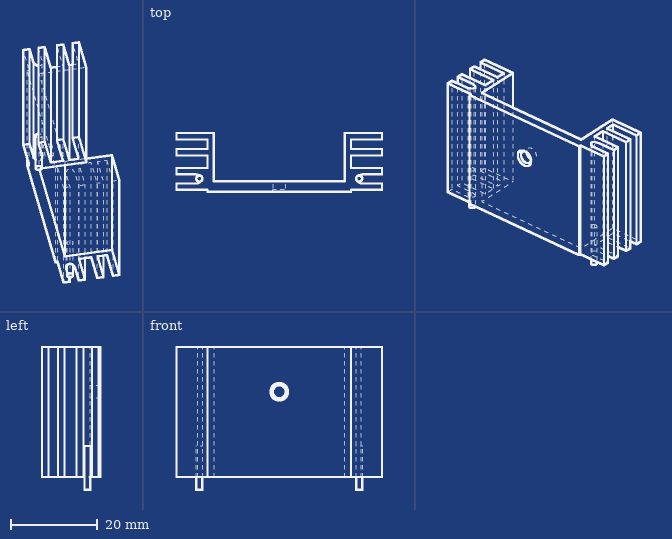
import cadquery as cq
import math

WIDTH = 47.4
DEPTH = 13.6
HEIGHT = 30.0

FIN_LENGTH = 7.1
FIN_THICKNESS = 1.5
WALL_THICKNESS = 1.5
BASE_THICKNESS = 2.5
PAD_STEP = 0.47
SECOND_FIN_BACK = 3.7
THIRD_FIN_BACK = 8.05
FRONT_SLOT_WIDTH = 2.05

PIN_DIAMETER = 1.4
PIN_INSET = 5.25
PIN_BACK = 10.5
PIN_PROTRUSION = 3.0
PIN_GRIP = 7.2
REAR_TAPER_INSET = 4.45
FRONT_TAPER_INSET = 4.85

HOLE_DIAMETER = 3.0
SINK_DIAMETER = 4.05
SINK_ANGLE = 90.0
HOLE_Z = 19.65

HALF_WIDTH = WIDTH / 2
WALL_OUTER_X = HALF_WIDTH - FIN_LENGTH
PIN_X = HALF_WIDTH - PIN_INSET
PIN_Y = DEPTH - PIN_BACK
PIN_RADIUS = PIN_DIAMETER / 2
SLOT_REAR_Y = DEPTH - THIRD_FIN_BACK - FIN_THICKNESS
SLOT_FRONT_Y = SLOT_REAR_Y - FRONT_SLOT_WIDTH


def block(x_min, x_max, y_min, y_max):
    """Full-height block between the given X and Y limits."""
    return cq.Workplane("XY").box(
        x_max - x_min, y_max - y_min, HEIGHT, centered=False
    ).translate((x_min, y_min, 0))


def tangent_point(x, y):
    """Point on the inner side of the +X pin seat whose tangent passes through (x, y)."""
    dx = x - PIN_X
    dy = y - PIN_Y
    turn = math.acos(PIN_RADIUS / math.hypot(dx, dy))
    angle = math.atan2(dy, dx) + math.copysign(turn, dy)
    return (PIN_X + PIN_RADIUS * math.cos(angle), PIN_Y + PIN_RADIUS * math.sin(angle))


def pin_slot():
    """Front slot of the +X side, tapering tangentially into the round pin seat."""
    rear_taper = (HALF_WIDTH - REAR_TAPER_INSET, SLOT_REAR_Y)
    front_taper = (HALF_WIDTH - FRONT_TAPER_INSET, SLOT_FRONT_Y)
    return (
        cq.Workplane("XY")
        .moveTo(HALF_WIDTH, SLOT_REAR_Y)
        .lineTo(*rear_taper)
        .lineTo(*tangent_point(*rear_taper))
        .threePointArc((PIN_X - PIN_RADIUS, PIN_Y), tangent_point(*front_taper))
        .lineTo(*front_taper)
        .lineTo(HALF_WIDTH, SLOT_FRONT_Y)
        .close()
        .extrude(HEIGHT)
    )


def side_cuts():
    """Material removed from the +X side to leave the fins."""
    second_fin_y = DEPTH - SECOND_FIN_BACK
    third_fin_y = DEPTH - THIRD_FIN_BACK
    rear_slot = block(WALL_OUTER_X, HALF_WIDTH, second_fin_y, DEPTH - FIN_THICKNESS)
    middle_slot = block(WALL_OUTER_X, HALF_WIDTH, third_fin_y, second_fin_y - FIN_THICKNESS)
    front_step = block(WALL_OUTER_X, HALF_WIDTH, 0, PAD_STEP)
    return [rear_slot, middle_slot, pin_slot(), front_step]


def make_heatsink():
    channel_x = WALL_OUTER_X - WALL_THICKNESS
    body = block(-HALF_WIDTH, HALF_WIDTH, 0, DEPTH)
    body = body.cut(block(-channel_x, channel_x, BASE_THICKNESS, DEPTH))
    for cutter in side_cuts():
        body = body.cut(cutter).cut(cutter.mirror("YZ"))

    return (
        body.faces("<Y")
        .workplane(origin=(0, 0, HOLE_Z))
        .cskHole(HOLE_DIAMETER, SINK_DIAMETER, SINK_ANGLE, BASE_THICKNESS)
    )


def make_pin(x):
    return (
        cq.Workplane("XY", origin=(x, PIN_Y, -PIN_PROTRUSION))
        .circle(PIN_RADIUS)
        .extrude(PIN_PROTRUSION + PIN_GRIP)
    )


heatsink = make_heatsink()
pins = [make_pin(side * PIN_X) for side in (-1, 1)]

result = cq.Compound.makeCompound([heatsink.val(), *[pin.val() for pin in pins]])